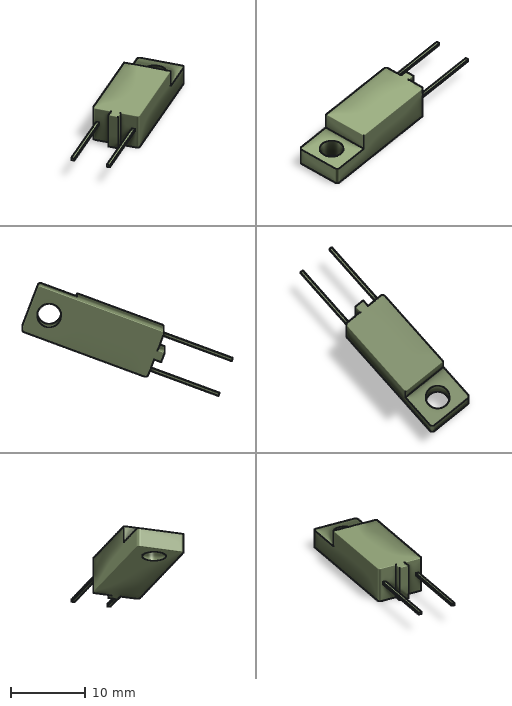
import cadquery as cq

overall_length = 28.1

case_width = 6.7
case_length = 18.1
case_height = 5.0
corner_radius = 0.4
edge_radius = 0.08

lug_length = 5.5
lug_height = 2.65
hole_diameter = 3.2
hole_from_back = lug_length / 2

tab_width = 1.4
tab_length = 1.0

lead_width = 0.45
lead_thickness = 0.35
lead_length = overall_length - case_length
lead_spacing = 5.1
lead_center_height = 2.78
lead_embedment = 0.28

box_centering = (True, False, False)


def make_case():
    """Stepped block with a front tab, rounded corners and softened rims."""
    block = cq.Workplane("XY").box(case_width, case_length, case_height, centered=box_centering)
    block = block.edges("|Z").fillet(corner_radius)
    tab = (
        cq.Workplane("XY")
        .box(tab_width, tab_length + corner_radius, case_height, centered=box_centering)
        .translate((0, -tab_length, 0))
    )
    lug_clearance = (
        cq.Workplane("XY")
        .box(case_width, lug_length, case_height - lug_height, centered=box_centering)
        .translate((0, case_length - lug_length, lug_height))
    )
    case = block.union(tab).cut(lug_clearance)
    return case.faces(">Z or <Z").edges().fillet(edge_radius)


def make_lug_hole():
    """Cylinder that drills the mounting hole through the lug."""
    return (
        cq.Workplane("XY")
        .center(0, case_length - hole_from_back)
        .circle(hole_diameter / 2)
        .extrude(lug_height)
    )


def make_lead(center_x):
    """Straight rectangular lead, rooted a little way inside the case."""
    return (
        cq.Workplane("XZ", origin=(center_x, lead_embedment, lead_center_height))
        .rect(lead_width, lead_thickness)
        .extrude(lead_embedment + lead_length)
    )


result = make_case().cut(make_lug_hole())
for side in (-1, 1):
    result = result.union(make_lead(side * lead_spacing / 2))